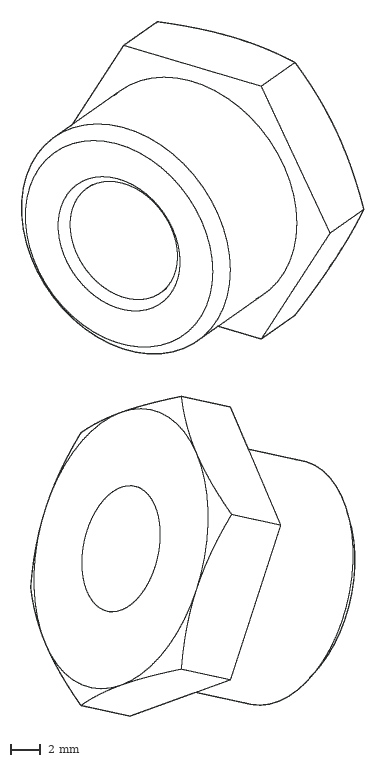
import cadquery as cq
import math

across_corners = 21.95
across_flats = across_corners * math.cos(math.radians(30))
total_length = 14.0
head_height = 5.0
head_chamfer_angle = 30.0

shank_diameter = 16.65
shank_length = total_length - head_height
shank_chamfer_length = 0.83
shank_chamfer_width = 0.85
bore_diameter = 8.55
countersink_diameter = 9.72
countersink_depth = (countersink_diameter - bore_diameter) / 2


def revolve_about_y(profile):
    """Turn a closed list of (radius, y) points about the Y axis."""
    return cq.Workplane("XY").polyline(profile).close().revolve(360, (0, 0, 0), (0, 1, 0))


def make_head():
    """Hexagon whose corners are turned down by a cone touching the flats at the back face."""
    hexagon = cq.Workplane("XZ").polygon(6, across_corners).extrude(-head_height)
    flat_radius = across_flats / 2
    outer_radius = across_corners
    cone_drop = (outer_radius - flat_radius) * math.tan(math.radians(head_chamfer_angle))
    corner_cutter = revolve_about_y([
        (flat_radius, head_height),
        (outer_radius, head_height),
        (outer_radius, head_height - cone_drop),
    ])
    return hexagon.cut(corner_cutter)


def make_shank():
    """Plain cylinder with a chamfered free end."""
    radius = shank_diameter / 2
    return revolve_about_y([
        (0, 0),
        (radius, 0),
        (radius, shank_chamfer_length - shank_length),
        (radius - shank_chamfer_width, -shank_length),
        (0, -shank_length),
    ])


def make_bore():
    """Through bore, countersunk at the free end of the shank."""
    bore_radius = bore_diameter / 2
    return revolve_about_y([
        (0, head_height),
        (bore_radius, head_height),
        (bore_radius, countersink_depth - shank_length),
        (countersink_diameter / 2, -shank_length),
        (0, -shank_length),
    ])


result = make_head().union(make_shank()).cut(make_bore())